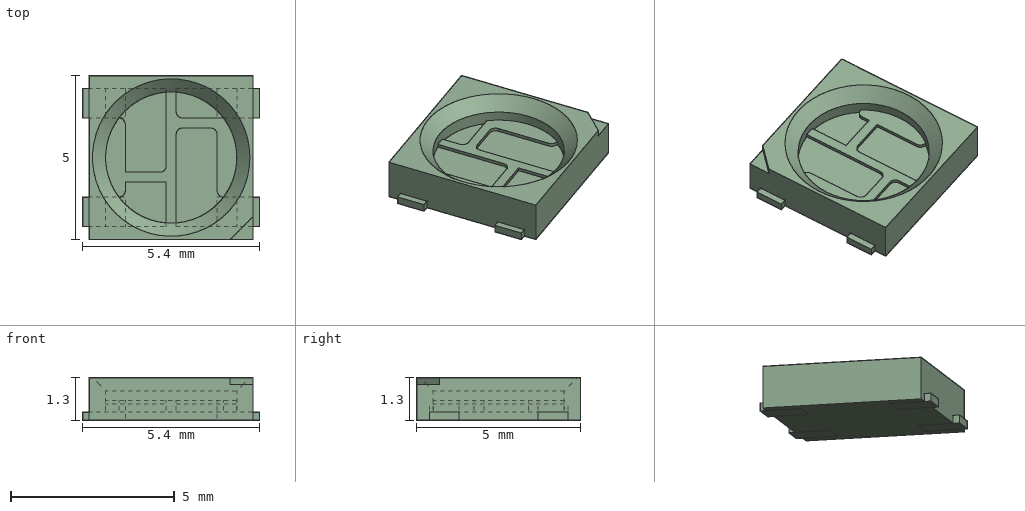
import cadquery as cq

overall_length = 5.4
body_side = 5.0
body_height = 1.3
rim_diameter = 4.8
bore_diameter = 4.0
cone_depth = 0.4
notch_leg = 0.7
notch_depth = 0.2

lead_thickness = 0.25
lead_width = 0.9
lead_inner_edge = 1.205
lead_outer_edge = lead_inner_edge + lead_width
plate_bottom = lead_thickness
plate_top = plate_bottom + lead_thickness
plate_end = bore_diameter / 2
wide_plate_end = 1.4
gap = 0.3
half_gap = gap / 2
corner_radius = 0.2
left_split_top = -0.45
left_split_bottom = left_split_top - gap
right_split_bottom = lead_inner_edge - gap

spacer_rise = 0.1
spacer_top = plate_top + spacer_rise

half_length = overall_length / 2
half_side = body_side / 2


def box_between(x_range, y_range, z_range):
    """Box between opposite coordinates on each axis."""
    size = [max(r) - min(r) for r in (x_range, y_range, z_range)]
    corner = (min(x_range), min(y_range), min(z_range))
    return cq.Workplane("XY").box(*size, centered=False).translate(corner)


def plate_prism(outline, rounded_corners, height):
    """Extrude a plate outline upward and round the listed corners."""
    prism = cq.Workplane("XY").workplane(offset=plate_bottom).polyline(outline).close().extrude(height)
    for x, y in rounded_corners:
        nearest = cq.selectors.NearestToPointSelector((x, y, plate_bottom + height / 2))
        prism = prism.edges("|Z").edges(nearest).fillet(corner_radius)
    return prism


def widened_outline(side, outward, split):
    """L-shaped plate outline that widens from its foot to the split line."""
    return [
        (side * plate_end, outward * lead_outer_edge),
        (side * half_gap, outward * lead_outer_edge),
        (side * half_gap, split),
        (side * wide_plate_end, split),
        (side * wide_plate_end, outward * lead_inner_edge),
        (side * plate_end, outward * lead_inner_edge),
    ]


def straight_outline(side, outward):
    """Rectangular plate outline as wide as its foot."""
    return [
        (side * plate_end, outward * lead_outer_edge),
        (side * half_gap, outward * lead_outer_edge),
        (side * half_gap, outward * lead_inner_edge),
        (side * plate_end, outward * lead_inner_edge),
    ]


lead_layouts = [
    (-1, 1, widened_outline(-1, 1, left_split_top),
     [(-half_gap, left_split_top), (-wide_plate_end, lead_inner_edge)]),
    (-1, -1, widened_outline(-1, -1, left_split_bottom),
     [(-wide_plate_end, -lead_inner_edge)]),
    (1, 1, straight_outline(1, 1),
     [(half_gap, lead_inner_edge)]),
    (1, -1, widened_outline(1, -1, right_split_bottom),
     [(half_gap, right_split_bottom), (wide_plate_end, right_split_bottom),
      (wide_plate_end, -lead_inner_edge)]),
]


def make_lead(side, outward, outline, rounded_corners):
    """One lead: the foot that leaves the housing, with its plate on top."""
    foot = box_between(
        (side * wide_plate_end, side * half_length),
        (outward * lead_inner_edge, outward * lead_outer_edge),
        (0, lead_thickness),
    )
    return foot.union(plate_prism(outline, rounded_corners, plate_top - plate_bottom))


def make_spacer():
    """Round floor of the bowl, open over the lead plates."""
    spacer = cq.Workplane("XY").workplane(offset=plate_bottom)
    spacer = spacer.circle(bore_diameter / 2).extrude(spacer_top - plate_bottom)
    for _, _, outline, rounded_corners in lead_layouts:
        spacer = spacer.cut(plate_prism(outline, rounded_corners, spacer_top - plate_bottom))
    return spacer


def make_bowl():
    """Cavity: a cone narrowing from the rim to a straight bore."""
    cone_bottom = body_height - cone_depth
    profile = [
        (0, plate_bottom),
        (bore_diameter / 2, plate_bottom),
        (bore_diameter / 2, cone_bottom),
        (rim_diameter / 2, body_height),
        (0, body_height),
    ]
    return cq.Workplane("XZ").polyline(profile).close().revolve(360, (0, 0, 0), (0, 1, 0))


def make_notch():
    """Triangular step that marks one top corner."""
    triangle = [
        (half_side, -half_side),
        (half_side, -half_side + notch_leg),
        (half_side - notch_leg, -half_side),
    ]
    floor = cq.Workplane("XY").workplane(offset=body_height - notch_depth)
    return floor.polyline(triangle).close().extrude(notch_depth)


def make_housing(leads):
    """Square block with the bowl, the corner notch and seats for the leads."""
    block = cq.Workplane("XY").box(body_side, body_side, body_height, centered=(True, True, False))
    block = block.cut(make_bowl()).cut(make_notch())
    for lead in leads:
        block = block.cut(lead)
    return block


leads = [make_lead(*layout) for layout in lead_layouts]
spacer = make_spacer()
housing = make_housing(leads)

result = cq.Compound.makeCompound([housing.val(), spacer.val(), *[lead.val() for lead in leads]])